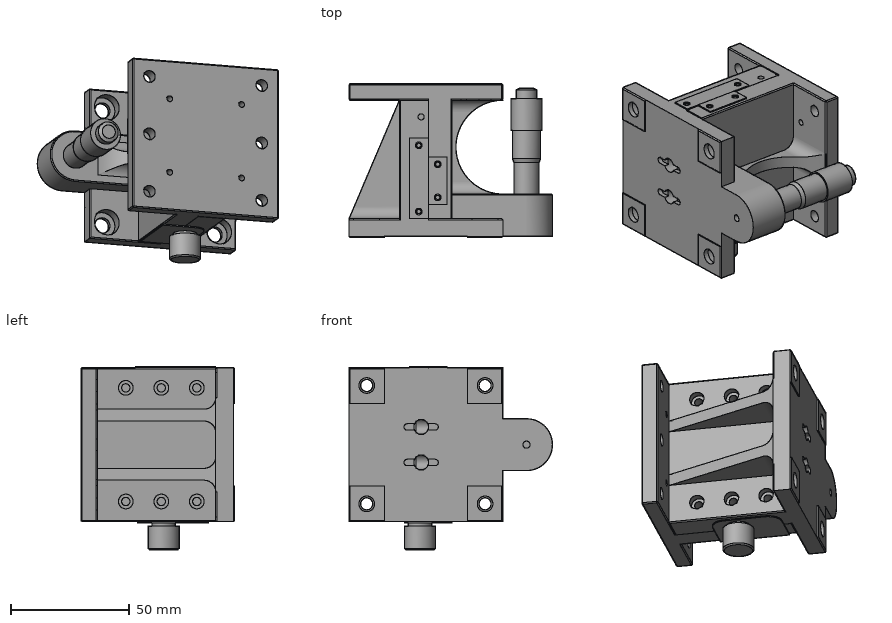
import cadquery as cq
import math

PLATE_SIZE = 65.0
MID_Z = PLATE_SIZE / 2
EDGE_CHAMFER = 0.5

FOOT_HEIGHT = 0.5
FOOT_SIZE = 15.0
BASE_PLATE_BACK = 8.0
CARRIAGE_PLATE_THICKNESS = 7.0
CARRIAGE_PLATE_FRONT = PLATE_SIZE - CARRIAGE_PLATE_THICKNESS

BASE_WEB_LEFT = 21.25
WEB_JOINT = 33.5
CARRIAGE_WEB_RIGHT = 43.5

RIB_THICKNESS = 5.0
RIB_FILLET = 5.0
BASE_RIB_PITCH = 25.0
SQUARE_EDGE = BASE_RIB_PITCH + RIB_THICKNESS + 2 * RIB_FILLET

ARM_CENTRE_X = 75.0
ARM_RADIUS = 11.0
ARM_BACK = 18.45

CORNER_INSET = 7.5
CORNER_PITCH = PLATE_SIZE - 2 * CORNER_INSET
FOOT_HOLE_DIAMETER = 6.6
FOOT_HEAD_DIAMETER = 11.0
FOOT_HEAD_SEAT = 2.2
PLATE_HOLE_DIAMETER = 5.0
PIN_HOLE_DIAMETER = 2.5
PIN_HOLE_PITCH = 32.0

RAIL_SCREW_Y = 31.0
RAIL_SCREW_PITCH_Y = 15.0
RAIL_SCREW_PITCH_Z = 48.0
RAIL_SCREW_DIAMETER = 3.5
RAIL_HEAD_DIAMETER = 6.2
RAIL_HEAD_DEPTH = 3.5

BORE_X = 30.5
BORE_PITCH = 15.0
BORE_DIAMETER = 6.2
BORE_END_Y = 15.0
CROSS_BORE_LEFT = 28.4
SLOT_LENGTH = 14.5
SLOT_WIDTH = 2.7
SLOT_DEPTH = 2.0

STOP_HOLE_X = 30.5
STOP_HOLE_Y = 51.0
STOP_HOLE_DIAMETER = 2.6
STOP_HOLE_DEPTH = 6.0

STRIP_WIDTH = 8.0
STRIP_THICKNESS = 0.5
STRIP_HOLE_INSET = 3.0
STRIP_HOLE_DIAMETER = 2.8
STRIP_TAP_DIAMETER = 1.8
STRIP_TAP_DEPTH = 4.0
BASE_STRIP_Y = (BASE_PLATE_BACK, 42.0)
CARRIAGE_STRIP_Y = (14.0, 34.0)

LOCK_PLATE_Y = (11.0, 41.0)
LOCK_PLATE_WIDTH = 20.0
LOCK_PLATE_FILLET = 6.0
LOCK_PLATE_THICKNESS = 0.5
KNOB_X = 30.0
KNOB_Y = 30.0
KNOB_DIAMETER = 13.2
KNOB_NECK_DIAMETER = 10.0
KNOB_TOP = -1.9
KNOB_BOTTOM = -11.91
KNOB_CHAMFER = 0.6
STUD_DIAMETER = 4.0
STUD_LENGTH = 5.0

BARREL_RADIUS = 5.35
BARREL_SEAT = 10.0
SPINDLE_HOLE_DIAMETER = 3.0
THIMBLE_RADIUS = 6.0
GRIP_RADIUS = 6.65
CAP_RADIUS = 4.4
CAP_TIP_RADIUS = 2.9
THIMBLE_START = 31.7
TAPER_END = 33.5
GRIP_START = 45.3
GRIP_END = 58.7
CAP_RIM = 62.4
CAP_END = 63.1


def box(x0, x1, y0, y1, z0, z1):
    """Box between two corners."""
    return cq.Workplane("XY").box(x1 - x0, y1 - y0, z1 - z0, centered=False).translate((x0, y0, z0))


def y_cylinder(x, z, diameter, y0, y1):
    """Cylinder along Y from y0 to y1."""
    return cq.Workplane("XZ", origin=(x, y0, z)).circle(diameter / 2).extrude(y0 - y1)


def x_cylinder(y, z, diameter, x0, x1):
    """Cylinder along X from x0 to x1."""
    return cq.Workplane("YZ", origin=(x0, y, z)).circle(diameter / 2).extrude(x1 - x0)


def z_cylinder(x, y, diameter, z0, z1):
    """Cylinder along Z from z0 to z1."""
    return cq.Workplane("XY", origin=(x, y, z0)).circle(diameter / 2).extrude(z1 - z0)


def pair(middle, pitch):
    """Two places spaced evenly about a middle."""
    return (middle - pitch / 2, middle + pitch / 2)


def plate(y0, y1):
    """Square plate between two Y planes."""
    return box(0, PLATE_SIZE, y0, y1, 0, PLATE_SIZE)


def flared_rib(z, y0, y1, x0, x1, flare_both_ends):
    """Rib along Y whose ends widen in fillets where they meet a plate."""
    half = RIB_THICKNESS / 2
    r = RIB_FILLET
    rib = box(x0, x1, y0, y1, z - half, z + half)
    ends = [(y0, 1)]
    if flare_both_ends:
        ends.append((y1, -1))
    for y_end, inward in ends:
        for side in (-1, 1):
            corner_z = z + side * half
            bend = r * (1 - math.sqrt(0.5))
            fillet = (
                cq.Workplane("YZ", origin=(x0, 0, 0))
                .moveTo(y_end, corner_z)
                .lineTo(y_end + inward * r, corner_z)
                .threePointArc(
                    (y_end + inward * bend, corner_z + side * bend),
                    (y_end, corner_z + side * r),
                )
                .close()
                .extrude(x1 - x0)
            )
            rib = rib.union(fillet)
    return rib


def strip_hole_places(y_range):
    """Y places of the two screws of a cover strip."""
    return (y_range[0] + STRIP_HOLE_INSET, y_range[1] - STRIP_HOLE_INSET)


def base_ribs():
    """Two triangular ribs from the base plate's left edge to the top of the web."""
    ribs = None
    for z in pair(MID_Z, BASE_RIB_PITCH):
        rib = flared_rib(z, BASE_PLATE_BACK, CARRIAGE_PLATE_FRONT, 0, BASE_WEB_LEFT, False)
        ribs = rib if ribs is None else ribs.union(rib)
    triangle = (
        cq.Workplane("XY")
        .polyline([
            (0, BASE_PLATE_BACK),
            (BASE_WEB_LEFT, BASE_PLATE_BACK),
            (BASE_WEB_LEFT, CARRIAGE_PLATE_FRONT),
        ])
        .close()
        .extrude(PLATE_SIZE)
    )
    return ribs.intersect(triangle)


def micrometer_arm():
    """Round-ended arm from the web joint out past the right edge of the plate."""
    bottom = MID_Z - ARM_RADIUS
    top = MID_Z + ARM_RADIUS
    arm = box(CARRIAGE_WEB_RIGHT, ARM_CENTRE_X, FOOT_HEIGHT, ARM_BACK, bottom, top)
    arm = arm.union(y_cylinder(ARM_CENTRE_X, MID_Z, 2 * ARM_RADIUS, FOOT_HEIGHT, ARM_BACK))
    return arm.faces(">Y").edges("not(<X)").chamfer(EDGE_CHAMFER)


def slotted_bore(z):
    """Bore from the front with a slot across it and a cross bore that opens at the web joint."""
    bore = y_cylinder(BORE_X, z, BORE_DIAMETER, FOOT_HEIGHT, BORE_END_Y)
    cross = x_cylinder(BORE_END_Y, z, BORE_DIAMETER, CROSS_BORE_LEFT, WEB_JOINT)
    slot = (
        cq.Workplane("XZ", origin=(BORE_X, FOOT_HEIGHT, z))
        .slot2D(SLOT_LENGTH, SLOT_WIDTH)
        .extrude(-SLOT_DEPTH)
    )
    return bore.union(cross).union(slot)


def make_base():
    body = plate(0, BASE_PLATE_BACK).faces("<Y or >Y").edges().chamfer(EDGE_CHAMFER)
    foot_gap_end = PLATE_SIZE - FOOT_SIZE
    body = body.cut(box(0, PLATE_SIZE, 0, FOOT_HEIGHT, FOOT_SIZE, foot_gap_end))
    body = body.cut(box(FOOT_SIZE, foot_gap_end, 0, FOOT_HEIGHT, 0, PLATE_SIZE))

    web = box(BASE_WEB_LEFT, WEB_JOINT, FOOT_HEIGHT, CARRIAGE_PLATE_FRONT, 0, PLATE_SIZE)
    web = web.edges("|Y and <X").chamfer(EDGE_CHAMFER)
    body = body.union(web).union(base_ribs()).union(micrometer_arm())

    body = body.union(
        box(0, EDGE_CHAMFER, FOOT_HEIGHT, BASE_PLATE_BACK, MID_Z - SQUARE_EDGE / 2, MID_Z + SQUARE_EDGE / 2)
    )

    for x in pair(MID_Z, CORNER_PITCH):
        for z in pair(MID_Z, CORNER_PITCH):
            body = body.cut(y_cylinder(x, z, FOOT_HOLE_DIAMETER, 0, BASE_PLATE_BACK))
            head_end = BASE_PLATE_BACK + RIB_FILLET
            body = body.cut(y_cylinder(x, z, FOOT_HEAD_DIAMETER, FOOT_HEAD_SEAT, head_end))

    for row in (-1, 0, 1):
        y = RAIL_SCREW_Y + row * RAIL_SCREW_PITCH_Y
        for z in pair(MID_Z, RAIL_SCREW_PITCH_Z):
            body = body.cut(x_cylinder(y, z, RAIL_SCREW_DIAMETER, BASE_WEB_LEFT, WEB_JOINT))
            head_end = BASE_WEB_LEFT + RAIL_HEAD_DEPTH
            body = body.cut(x_cylinder(y, z, RAIL_HEAD_DIAMETER, BASE_WEB_LEFT, head_end))

    for z in pair(MID_Z, BORE_PITCH):
        body = body.cut(slotted_bore(z))

    body = body.cut(
        z_cylinder(STOP_HOLE_X, STOP_HOLE_Y, STOP_HOLE_DIAMETER, PLATE_SIZE - STOP_HOLE_DEPTH, PLATE_SIZE)
    )
    for y in strip_hole_places(BASE_STRIP_Y):
        x = WEB_JOINT - STRIP_WIDTH / 2
        body = body.cut(z_cylinder(x, y, STRIP_TAP_DIAMETER, PLATE_SIZE - STRIP_TAP_DEPTH, PLATE_SIZE))

    body = body.cut(z_cylinder(KNOB_X, KNOB_Y, STUD_DIAMETER, 0, STUD_LENGTH))
    body = body.cut(y_cylinder(ARM_CENTRE_X, MID_Z, 2 * BARREL_RADIUS, BARREL_SEAT, ARM_BACK))
    return body.cut(y_cylinder(ARM_CENTRE_X, MID_Z, SPINDLE_HOLE_DIAMETER, FOOT_HEIGHT, BARREL_SEAT))


def carriage_rib():
    """Central rib hollowed by a round scoop that runs from the arm to the carriage plate."""
    rib = flared_rib(MID_Z, ARM_BACK, CARRIAGE_PLATE_FRONT, CARRIAGE_WEB_RIGHT, PLATE_SIZE, True)
    scoop_y = (ARM_BACK + CARRIAGE_PLATE_FRONT) / 2
    scoop_diameter = CARRIAGE_PLATE_FRONT - ARM_BACK
    return rib.cut(z_cylinder(PLATE_SIZE, scoop_y, scoop_diameter, 0, PLATE_SIZE))


def make_carriage():
    body = plate(CARRIAGE_PLATE_FRONT, PLATE_SIZE)
    body = body.edges().chamfer(EDGE_CHAMFER)
    web_end = PLATE_SIZE - EDGE_CHAMFER
    web = box(WEB_JOINT, CARRIAGE_WEB_RIGHT, BASE_PLATE_BACK, web_end, 0, PLATE_SIZE)
    web = web.edges("|Y and >X").chamfer(EDGE_CHAMFER)
    body = body.union(web).union(carriage_rib())

    for x in pair(MID_Z, CORNER_PITCH):
        for z in (*pair(MID_Z, CORNER_PITCH), MID_Z):
            body = body.cut(y_cylinder(x, z, PLATE_HOLE_DIAMETER, CARRIAGE_PLATE_FRONT, PLATE_SIZE))
    for x in pair(MID_Z, PIN_HOLE_PITCH):
        for z in pair(MID_Z, PIN_HOLE_PITCH):
            body = body.cut(y_cylinder(x, z, PIN_HOLE_DIAMETER, CARRIAGE_PLATE_FRONT, PLATE_SIZE))

    for y in strip_hole_places(CARRIAGE_STRIP_Y):
        x = WEB_JOINT + STRIP_WIDTH / 2
        body = body.cut(z_cylinder(x, y, STRIP_TAP_DIAMETER, PLATE_SIZE - STRIP_TAP_DEPTH, PLATE_SIZE))
    return body


def make_cover_strip(left, y_range):
    """Thin strip on a web top with two screw holes."""
    top = PLATE_SIZE + STRIP_THICKNESS
    strip = box(left, left + STRIP_WIDTH, *y_range, PLATE_SIZE, top)
    for y in strip_hole_places(y_range):
        strip = strip.cut(z_cylinder(left + STRIP_WIDTH / 2, y, STRIP_HOLE_DIAMETER, PLATE_SIZE, top))
    return strip


def make_lock_plate():
    """Plate under both webs, rounded at its left corners, with a hole for the knob's stud."""
    left = CARRIAGE_WEB_RIGHT - LOCK_PLATE_WIDTH
    body = box(left, CARRIAGE_WEB_RIGHT, *LOCK_PLATE_Y, -LOCK_PLATE_THICKNESS, 0)
    body = body.edges("|Z and <X").fillet(LOCK_PLATE_FILLET)
    return body.cut(z_cylinder(KNOB_X, KNOB_Y, STUD_DIAMETER, -LOCK_PLATE_THICKNESS, 0))


def make_lock_knob():
    """Turned knob with a neck and a stud that enters the base web."""
    knob = z_cylinder(KNOB_X, KNOB_Y, KNOB_DIAMETER, KNOB_BOTTOM, KNOB_TOP)
    knob = knob.faces("<Z").edges().chamfer(KNOB_CHAMFER)
    knob = knob.union(z_cylinder(KNOB_X, KNOB_Y, KNOB_NECK_DIAMETER, KNOB_TOP, -LOCK_PLATE_THICKNESS))
    return knob.union(z_cylinder(KNOB_X, KNOB_Y, STUD_DIAMETER, KNOB_TOP, STUD_LENGTH))


def make_barrel():
    """Plain barrel seated in the arm, ending where the thimble starts."""
    return y_cylinder(ARM_CENTRE_X, MID_Z, 2 * BARREL_RADIUS, BARREL_SEAT, THIMBLE_START)


def make_thimble():
    """Thimble with a tapered nose, a larger grip and a ratchet cap."""
    profile = [
        (0, THIMBLE_START),
        (BARREL_RADIUS, THIMBLE_START),
        (THIMBLE_RADIUS, TAPER_END),
        (THIMBLE_RADIUS, GRIP_START),
        (GRIP_RADIUS, GRIP_START),
        (GRIP_RADIUS, GRIP_END),
        (CAP_RADIUS, GRIP_END),
        (CAP_RADIUS, CAP_RIM),
        (CAP_TIP_RADIUS, CAP_END),
        (0, CAP_END),
    ]
    thimble = cq.Workplane("XY").polyline(profile).close().revolve(360, (0, 0, 0), (0, 1, 0))
    return thimble.translate((ARM_CENTRE_X, 0, MID_Z))


base = make_base()
carriage = make_carriage()
base_strip = make_cover_strip(WEB_JOINT - STRIP_WIDTH, BASE_STRIP_Y)
carriage_strip = make_cover_strip(WEB_JOINT, CARRIAGE_STRIP_Y)
lock_plate = make_lock_plate()
lock_knob = make_lock_knob()
barrel = make_barrel()
thimble = make_thimble()

result = cq.Compound.makeCompound([
    base.val(),
    carriage.val(),
    base_strip.val(),
    carriage_strip.val(),
    lock_plate.val(),
    lock_knob.val(),
    barrel.val(),
    thimble.val(),
])